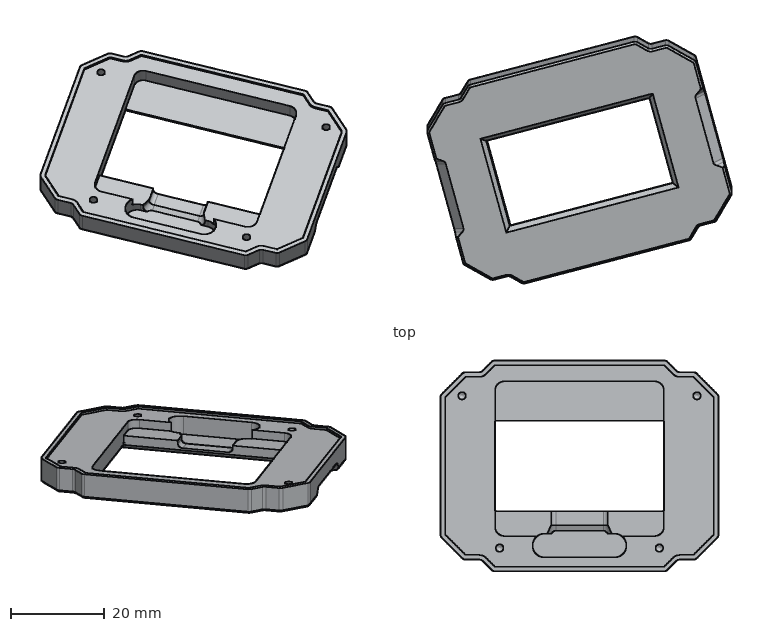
import cadquery as cq
import math

length = 59.4
width = 45.0
height = 5.5
corner_chamfer = 5.0
step_depth = 2.5
step_end_x = 18.5
outline_radius = 1.0
bottom_chamfer = 0.5

rim_width = 1.0
rim_height = 0.5

pocket_length = 36.05
pocket_back_y = 18.05
pocket_front_y = -14.95
pocket_radius = 2.0
shelf_z = 1.5
window_width = 19.25
window_radius = 0.25
window_flare = 1.0

ledge_z = 3.1
channel_width = 12.1
channel_radius = 1.0
channel_end_y = -12.65
channel_flare = 0.85
recess_length = 20.0
recess_width = 5.05
recess_center_y = -17.0
recess_z = 0.95

hole_diameter = 1.6
hole_depth = 2.95
drill_angle = 118.0
back_hole = (25.05, 14.95)
front_hole = (17.05, -17.5)

notch_top_width = 15.45
notch_depth = 1.5
notch_radius = 1.0

half_length = length / 2
half_width = width / 2
shoulder_y = half_width - step_depth
floor_z = height - rim_height


def outline_points():
    """Corners of the symmetric outer outline, in order around the part."""
    quadrant = [
        (half_length, shoulder_y - corner_chamfer),
        (half_length - corner_chamfer, shoulder_y),
        (step_end_x + step_depth, shoulder_y),
        (step_end_x, half_width),
    ]
    back = quadrant + [(-x, y) for x, y in reversed(quadrant)]
    front = [(-x, -y) for x, y in back]
    return back + front


def body():
    plate = cq.Workplane("XY").polyline(outline_points()).close().extrude(height)
    plate = plate.edges("|Z").fillet(outline_radius)
    return plate.faces("<Z").chamfer(bottom_chamfer)


def rim_recess():
    top_wires = body().faces(">Z").wires()
    return top_wires.toPending().offset2D(-rim_width).extrude(-rim_height, combine=False)


def block(x_size, y_front, y_back, z_bottom, z_top):
    """Box centred on the YZ plane between the given Y and Z limits."""
    return (
        cq.Workplane("XY")
        .box(x_size, y_back - y_front, z_top - z_bottom, centered=(True, False, False))
        .translate((0, y_front, z_bottom))
    )


def pocket():
    full = block(pocket_length, pocket_front_y, pocket_back_y, shelf_z, height)
    full = full.edges("|Z").fillet(pocket_radius)
    ledge = block(pocket_length, pocket_front_y, -window_width / 2, shelf_z, ledge_z)
    return full.cut(ledge)


def window():
    opening = cq.Workplane("XY").rect(pocket_length, window_width).extrude(height)
    opening = opening.edges("|Z").fillet(window_radius)
    flare = (
        cq.Workplane("XY")
        .rect(pocket_length + 2 * window_flare, window_width + 2 * window_flare)
        .extrude(window_flare, taper=45)
    )
    return opening.union(flare)


def channel_section(y, growth):
    """Round-bottomed channel section at the given Y, grown outward by growth."""
    half = channel_width / 2 + growth
    bottom = shelf_z - growth
    radius = channel_radius + growth
    bend = radius * (1 - math.sqrt(0.5))
    return (
        cq.Workplane("XZ", origin=(0, y, 0))
        .moveTo(-half, height)
        .lineTo(-half, bottom + radius)
        .threePointArc((bend - half, bottom + bend), (radius - half, bottom))
        .lineTo(half - radius, bottom)
        .threePointArc((half - bend, bottom + bend), (half, bottom + radius))
        .lineTo(half, height)
        .close()
    )


def cable_channel():
    recess_edge_y = recess_center_y + recess_width / 2
    straight = channel_section(0, 0).extrude(-channel_end_y)
    start = channel_section(channel_end_y, 0).wires().val()
    end = channel_section(recess_edge_y, channel_flare).wires().val()
    flare = cq.Workplane(cq.Solid.makeLoft([start, end], True))
    limit = block(length, recess_edge_y, 0, recess_z, ledge_z)
    return straight.union(flare).intersect(limit)


def cable_recess():
    return (
        cq.Workplane("XY", origin=(0, recess_center_y, recess_z))
        .slot2D(recess_length, recess_width)
        .extrude(height)
    )


def screw_hole(x, y):
    radius = hole_diameter / 2
    tip = radius / math.tan(math.radians(drill_angle / 2))
    return (
        cq.Workplane("XZ", origin=(x, y, floor_z))
        .polyline([(0, 0), (radius, 0), (radius, -hole_depth), (0, -hole_depth - tip)])
        .close()
        .revolve(360, (0, 0), (0, 1))
    )


def finger_notch():
    """Trapezoid groove that runs inward and down at 45 degrees from the -X end."""
    half_top = notch_top_width / 2
    half_bottom = half_top + height
    sloped = cq.Plane(origin=(-half_length, 0, 0), xDir=(0, 1, 0), normal=(1, 0, -1))
    groove = (
        cq.Workplane(sloped)
        .polyline([
            (-half_top, notch_depth),
            (half_top, notch_depth),
            (half_bottom, notch_depth - height),
            (-half_bottom, notch_depth - height),
        ])
        .close()
        .extrude(height, both=True)
    )
    return groove.edges("|(1, 0, -1)").edges(">(1, 0, 1)").fillet(notch_radius)


result = body().cut(rim_recess()).cut(pocket()).cut(window())
result = result.cut(cable_channel()).cut(cable_recess())
for hole_x, hole_y in (back_hole, front_hole):
    for side in (-1, 1):
        result = result.cut(screw_hole(side * hole_x, hole_y))
notch = finger_notch()
result = result.cut(notch).cut(notch.mirror("YZ"))